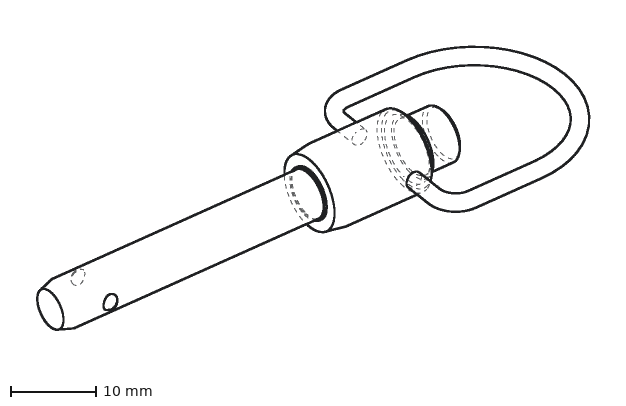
import cadquery as cq
import math

overall_length = 75.7
ring_width = 27.0

pin_radius = 3.2
tip_radius = 2.6
tip_length = 2.0
ball_radius = 1.1
ball_reach = 3.8
ball_y = 6.4

body_diameter = 10.7
body_radius = body_diameter / 2
body_front_y = 38.0
body_back_y = 52.3
taper_length = 2.7
taper_end_radius = 4.9
body_chamfer = 0.4
seat_radius = 3.4
seat_length = 0.3

collar_front_radius = 4.4
collar_back_radius = 4.1
collar_length = 0.8
button_radius = 3.6
button_end_y = 57.65
button_chamfer = 0.4

wire_diameter = 2.2
wire_radius = wire_diameter / 2
corner_radius = 3.2
ring_base_y = 49.3
ring_radius = ring_width / 2 - wire_radius
ring_arc_y = overall_length - ring_width / 2


def make_turned_body():
    """Pin, body, collar and button as one profile revolved about Y."""
    seat_y = body_front_y - seat_length
    collar_end_y = body_back_y + collar_length
    profile = [
        (0, 0),
        (tip_radius, 0),
        (pin_radius, tip_length),
        (pin_radius, seat_y),
        (seat_radius, seat_y),
        (seat_radius, body_front_y),
        (taper_end_radius, body_front_y),
        (body_radius, body_front_y + taper_length),
        (body_radius, body_back_y - body_chamfer),
        (body_radius - body_chamfer, body_back_y),
        (collar_front_radius, body_back_y),
        (collar_back_radius, collar_end_y),
        (button_radius, collar_end_y),
        (button_radius, button_end_y - button_chamfer),
        (button_radius - button_chamfer, button_end_y),
        (0, button_end_y),
    ]
    return cq.Workplane("XY").polyline(profile).close().revolve(360, (0, 0, 0), (0, 1, 0))


def make_ring():
    """Round wire swept round the D-shaped handle, both ends meeting inside the body."""
    corner_x = ring_radius - corner_radius
    corner_y = ring_base_y + corner_radius
    corner_mid_x = corner_x + corner_radius * math.sqrt(0.5)
    corner_mid_y = corner_y - corner_radius * math.sqrt(0.5)
    path = (
        cq.Workplane("XY")
        .moveTo(0, ring_base_y)
        .lineTo(corner_x, ring_base_y)
        .threePointArc((corner_mid_x, corner_mid_y), (ring_radius, corner_y))
        .lineTo(ring_radius, ring_arc_y)
        .threePointArc((0, ring_arc_y + ring_radius), (-ring_radius, ring_arc_y))
        .lineTo(-ring_radius, corner_y)
        .threePointArc((-corner_mid_x, corner_mid_y), (-corner_x, ring_base_y))
        .lineTo(0, ring_base_y)
    )
    wire_section = cq.Workplane("YZ").center(ring_base_y, 0).circle(wire_radius)
    return wire_section.sweep(path)


def make_balls():
    """Locking balls standing out of opposite sides of the pin."""
    ball_x = ball_reach - ball_radius
    return cq.Workplane("XY").pushPoints([(-ball_x, ball_y), (ball_x, ball_y)]).sphere(ball_radius)


result = make_turned_body().union(make_ring()).union(make_balls())